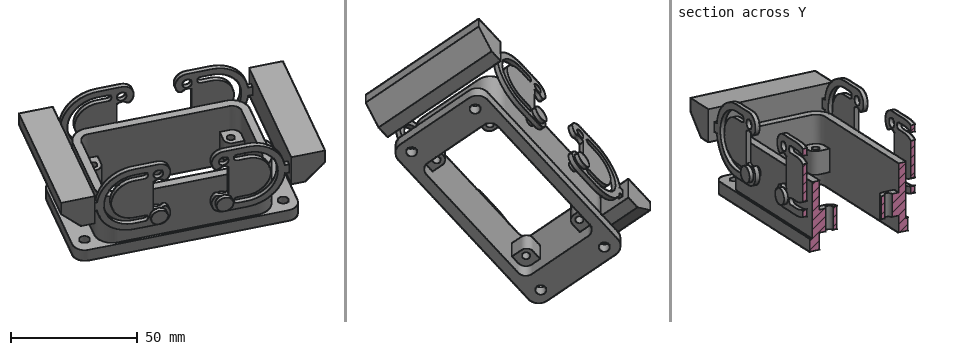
import cadquery as cq
import math

base_width = 45.0
base_length = 93.0
base_height = 5.6
base_corner_radius = 5.2
mount_hole_diameter = 4.3
mount_hole_x = 16.0
mount_hole_y = 41.0

collar_width = 43.0
collar_length = 73.0
collar_top = 29.6
collar_corner_radius = 7.4
wall_thickness = 3.5
bore_width = collar_width - 2 * wall_thickness
bore_length = collar_length - 2 * wall_thickness
bore_corner_radius = collar_corner_radius - wall_thickness

boss_inner_x = 10.0
boss_inner_y = 25.2
boss_round_radius = 3.2
boss_hole_diameter = 3.2
boss_hole_x = 13.45
boss_hole_y = 28.4
boss_bottom = 7.2
boss_top = 17.2

lever_z = 30.0
lever_thickness = 2.0
lever_inner_x = 23.7
lever_outer_x = lever_inner_x + lever_thickness
lever_radius = 15.5
lever_center_y = 23.4
slot_outer_radius = 12.5
slot_inner_radius = 9.5
slot_end_y = 19.2
lever_edge_y = 15.5
pivot_y = 13.5
tip_radius = 5.0
pivot_offset = lever_radius - tip_radius
pivot_hole_diameter = 4.0
notch_radius = 2.7
notch_offset = 5.06
hook_round_radius = 1.2

pin_diameter = 4.0
pin_head_diameter = 7.0
pin_head_outer_x = 27.5

bar_width = 57.0
bar_inner_y = 40.5
bar_outer_y = 54.5
bar_bottom = 24.0
bar_top = 38.1
bar_chamfer = 8.2
neck_height = 4.3


def rounded_block(width, length, height, radius):
    """Upright block on the XY plane with rounded vertical edges."""
    return cq.Workplane("XY").rect(width, length).extrude(height).edges("|Z").fillet(radius)


def mirror_about_x_and_y(quarter):
    """Repeat a body in all four quadrants."""
    half = quarter.union(quarter.mirror("YZ"))
    return half.union(half.mirror("XZ"))


def make_housing():
    """Flange and collar with one opening running right through."""
    flange = rounded_block(base_width, base_length, base_height, base_corner_radius)
    collar = rounded_block(collar_width, collar_length, collar_top, collar_corner_radius)
    bore = rounded_block(bore_width, bore_length, collar_top, bore_corner_radius)
    mount_holes = (
        cq.Workplane("XY")
        .rect(2 * mount_hole_x, 2 * mount_hole_y, forConstruction=True)
        .vertices()
        .circle(mount_hole_diameter / 2)
        .extrude(base_height)
    )
    return flange.union(collar).cut(bore).cut(mount_holes)


def make_boss():
    """Screw boss filling the +X +Y corner of the bore, sunk halfway into the wall."""
    outer_x = (bore_width + wall_thickness) / 2
    outer_y = (bore_length + wall_thickness) / 2
    block = (
        cq.Workplane("XY", origin=(0, 0, boss_bottom))
        .moveTo((boss_inner_x + outer_x) / 2, (boss_inner_y + outer_y) / 2)
        .rect(outer_x - boss_inner_x, outer_y - boss_inner_y)
        .extrude(boss_top - boss_bottom)
        .edges("|Z and <X and <Y")
        .fillet(boss_round_radius)
    )
    collar = rounded_block(collar_width, collar_length, collar_top, collar_corner_radius)
    hole = (
        cq.Workplane("XY")
        .center(boss_hole_x, boss_hole_y)
        .circle(boss_hole_diameter / 2)
        .extrude(boss_top)
    )
    return block.intersect(collar).cut(hole)


def polar_point(center, radius, angle):
    """Point on a circle, with the angle in radians."""
    return (center[0] + radius * math.cos(angle), center[1] + radius * math.sin(angle))


def direction(start, end):
    """Angle of the ray from start to end, in radians."""
    return math.atan2(end[1] - start[1], end[0] - start[0])


def lever_sketch():
    """YZ sketch plane on the inner lever face, with Z measured from the lever mid height."""
    return cq.Workplane("YZ", origin=(lever_inner_x, 0, lever_z))


def make_lever_blank():
    """Upper half of the lever, from its mid height to the hooked tip, without openings."""
    pivot = (pivot_y, pivot_offset)
    notch = (pivot_y, notch_offset)
    ring = (lever_center_y, 0)

    tip_distance = tip_radius - hook_round_radius
    notch_distance = notch_radius + hook_round_radius
    spacing = pivot_offset - notch_offset
    drop = (tip_distance**2 - notch_distance**2 + spacing**2) / (2 * spacing)
    hook = (pivot_y - math.sqrt(tip_distance**2 - drop**2), pivot_offset - drop)
    notch_angle = direction(notch, hook)
    tip_angle = direction(pivot, hook)

    edge_reach = lever_edge_y - pivot_y
    notch_start = (lever_edge_y, notch_offset + math.sqrt(notch_radius**2 - edge_reach**2))
    hook_bottom = (hook[0], hook[1] - hook_round_radius)
    return (
        lever_sketch()
        .moveTo(lever_edge_y, 0)
        .lineTo(*notch_start)
        .threePointArc(
            polar_point(notch, notch_radius, math.pi / 2),
            polar_point(notch, notch_radius, notch_angle),
        )
        .threePointArc(hook_bottom, polar_point(pivot, tip_radius, tip_angle))
        .threePointArc(
            polar_point(pivot, tip_radius, math.pi),
            polar_point(pivot, tip_radius, math.pi / 2),
        )
        .lineTo(lever_center_y, lever_radius)
        .threePointArc(
            polar_point(ring, lever_radius, math.pi / 4),
            polar_point(ring, lever_radius, 0),
        )
        .close()
        .extrude(lever_thickness)
    )


def make_slot():
    """Upper half of the curved lever slot, with a round end near the tip."""
    ring = (lever_center_y, 0)
    end_radius = (slot_outer_radius - slot_inner_radius) / 2
    end_tip = (slot_end_y - end_radius, slot_inner_radius + end_radius)
    return (
        lever_sketch()
        .moveTo(*polar_point(ring, slot_inner_radius, 0))
        .threePointArc(
            polar_point(ring, slot_inner_radius, math.pi / 4),
            polar_point(ring, slot_inner_radius, math.pi / 2),
        )
        .lineTo(slot_end_y, slot_inner_radius)
        .threePointArc(end_tip, (slot_end_y, slot_outer_radius))
        .lineTo(lever_center_y, slot_outer_radius)
        .threePointArc(
            polar_point(ring, slot_outer_radius, math.pi / 4),
            polar_point(ring, slot_outer_radius, 0),
        )
        .close()
        .extrude(lever_thickness)
    )


def make_lever():
    """C-shaped lever in the +X +Y quadrant, with the neck that carries the cross bar."""
    pivot_hole = (
        lever_sketch()
        .center(pivot_y, pivot_offset)
        .circle(pivot_hole_diameter / 2)
        .extrude(lever_thickness)
    )
    upper = make_lever_blank().cut(make_slot()).cut(pivot_hole)
    lower = upper.mirror("XY", (0, 0, lever_z))

    neck_start = lever_center_y + (slot_outer_radius + lever_radius) / 2
    neck_end = (bar_inner_y + bar_outer_y) / 2
    neck = (
        lever_sketch()
        .center((neck_start + neck_end) / 2, 0)
        .rect(neck_end - neck_start, neck_height)
        .extrude(lever_thickness)
    )
    return upper.union(lower).union(neck)


def make_pin():
    """Headed pin through the lower lever hole, rooted in the middle of the collar wall."""
    root_x = (bore_width + wall_thickness) / 2
    shank = (
        cq.Workplane("YZ", origin=(root_x, pivot_y, lever_z - pivot_offset))
        .circle(pin_diameter / 2)
        .extrude(lever_outer_x - root_x)
    )
    head = (
        cq.Workplane("YZ", origin=(lever_outer_x, pivot_y, lever_z - pivot_offset))
        .circle(pin_head_diameter / 2)
        .extrude(pin_head_outer_x - lever_outer_x)
    )
    return shank.union(head)


def make_bar():
    """Cross bar on the +Y side, chamfered along its lower outer edge."""
    return (
        cq.Workplane("YZ")
        .moveTo(bar_inner_y, bar_bottom)
        .lineTo(bar_outer_y - bar_chamfer, bar_bottom)
        .lineTo(bar_outer_y, bar_bottom + bar_chamfer)
        .lineTo(bar_outer_y, bar_top)
        .lineTo(bar_inner_y, bar_top)
        .close()
        .extrude(bar_width / 2, both=True)
    )


bar = make_bar()
quarter = make_boss().union(make_pin()).union(make_lever())
result = (
    make_housing()
    .union(mirror_about_x_and_y(quarter))
    .union(bar)
    .union(bar.mirror("XZ"))
)